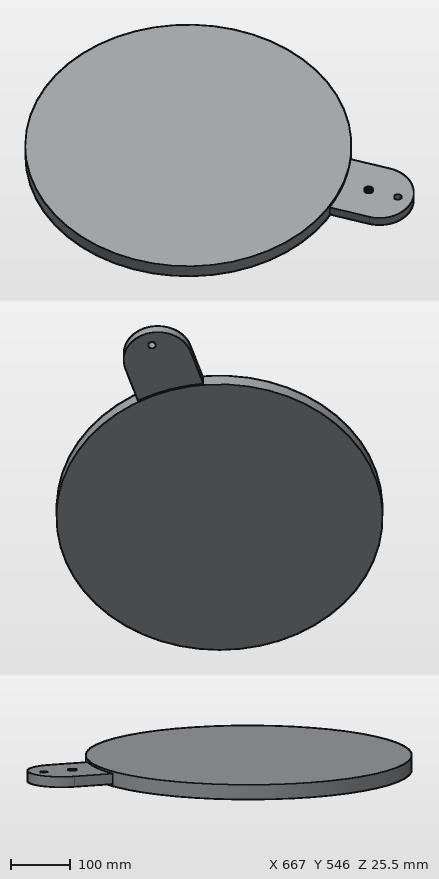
import cadquery as cq

overall_length = 667.0
disc_diameter = 546.0
disc_thickness = 25.5

handle_width = 115.0
handle_thickness = 18.0

hanging_hole_diameter = 13.0
hanging_hole_from_tip = 25.5
eyelet_to_hole = 51.5

eyelet_diameter = 15.5
eyelet_height = 1.0
eyelet_bore_steps = ((13.0, 2.0), (7.0, 4.0), (3.0, 8.0))

disc_radius = disc_diameter / 2
handle_tip_x = overall_length - disc_radius
handle_end_radius = handle_width / 2
handle_arc_x = handle_tip_x - handle_end_radius
handle_top_z = handle_thickness / 2
hanging_hole_x = handle_tip_x - hanging_hole_from_tip
eyelet_x = hanging_hole_x - eyelet_to_hole
eyelet_top_z = handle_top_z + eyelet_height


def centred_disc():
    """Round plate centred on the origin."""
    return cq.Workplane("XY").circle(disc_radius).extrude(disc_thickness / 2, both=True)


def handle():
    """Tab running from the middle of the disc to its rounded tip."""
    return (
        cq.Workplane("XY")
        .moveTo(0, -handle_end_radius)
        .lineTo(handle_arc_x, -handle_end_radius)
        .threePointArc((handle_tip_x, 0), (handle_arc_x, handle_end_radius))
        .lineTo(0, handle_end_radius)
        .close()
        .extrude(handle_thickness / 2, both=True)
    )


def cylinder_down(x, top_z, diameter, depth):
    """Vertical cylinder on the handle centreline, reaching down from top_z."""
    return (
        cq.Workplane("XY", origin=(x, 0, top_z))
        .circle(diameter / 2)
        .extrude(-depth)
    )


def hanging_hole():
    """Cutter that passes through the full handle thickness."""
    return cylinder_down(hanging_hole_x, handle_top_z, hanging_hole_diameter, handle_thickness)


def eyelet():
    """Flat round pad standing on the top face of the handle."""
    return cylinder_down(eyelet_x, eyelet_top_z, eyelet_diameter, eyelet_height)


result = (
    centred_disc()
    .union(handle())
    .union(eyelet())
    .cut(hanging_hole())
)
for step_diameter, step_depth in eyelet_bore_steps:
    result = result.cut(cylinder_down(eyelet_x, eyelet_top_z, step_diameter, step_depth))